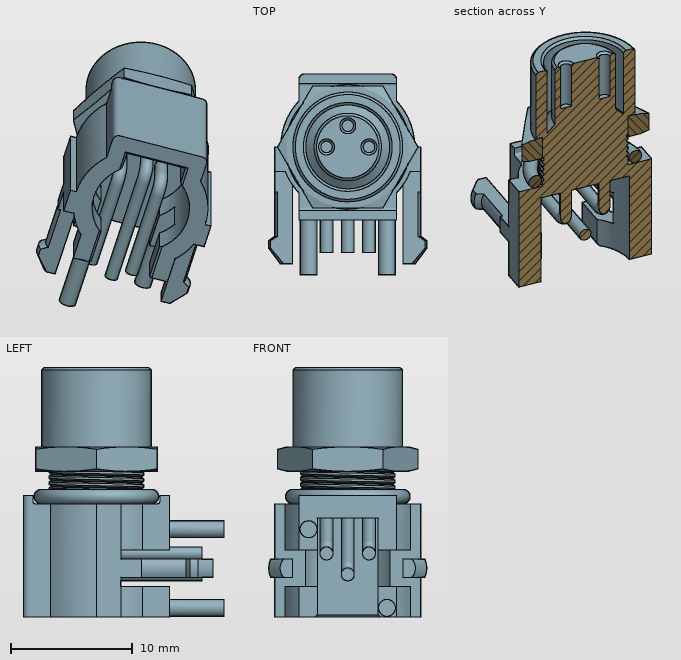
import cadquery as cq
import math


total_height = 20.5
post_tip_y = -10.5

block_half_width = 4.02
block_half_depth = 6.0
block_corner_radius = 0.5
drum_radius = 5.51
shoulder_half_width = 6.0
shoulder_front_y = -2.0
body_height = 9.3
lip_top_z = 10.0
lip_inner_y = 5.2
lip_root_radius = 0.2

cavity_radius = 4.0
cavity_height = 8.14
pocket_half_width = 2.5
pocket_rear_y = 4.5
mouth_chamfer = 0.18

slot_bottom_z = 2.52
slot_top_z = 5.51

sleeve_radius = 4.5
sleeve_bore_radius = 3.45
sleeve_chamfer = 0.2
neck_radius = 3.9
thread_depth = 0.15
thread_pitch = 0.5
thread_turns = 5
thread_groove_mouth = 0.37
thread_groove_root = 0.08
nut_bottom_z = 11.97
nut_height = 2.0
nut_across_flats = 10.0
nut_chamfer_height = 0.2

insert_radius = 2.77
insert_chamfer = 0.2
groove_depth = 6.15
contact_pitch_radius = 1.75
contact_hole_radius = 0.47
contact_hole_depth = 4.1
countersink_depth = 0.18

ring_outer_radius = 5.12
ring_wire_radius = 0.6

contact_radius = 0.53
contact_bend_radius = 1.0
contact_tip_y = -8.67
side_contact_z = 5.23
middle_contact_z = 3.5

post_radius = 0.7
post_offset_x = 3.22
upper_post_z = 7.22
lower_post_z = 0.75

arm_inner_x = 4.53
arm_height = 1.5
arm_center_z = (slot_bottom_z + slot_top_z) / 2
arm_square_end_y = -3.71
hook_outer_x = 6.5
arm_bulge = 0.23
hook_bulge = 0.16
arm_stations = [
    (arm_square_end_y, shoulder_half_width, arm_bulge),
    (-7.34, shoulder_half_width, arm_bulge),
    (-7.69, hook_outer_x, hook_bulge),
    (-8.32, hook_outer_x, hook_bulge),
    (-9.6, 5.55, 0.29),
]

nut_top_z = nut_bottom_z + nut_height
contact_places = [
    (-contact_pitch_radius, 0, side_contact_z),
    (0, contact_pitch_radius, middle_contact_z),
    (contact_pitch_radius, 0, side_contact_z),
]


def box(x_min, x_max, y_min, y_max, z_min, z_max):
    size = (x_max - x_min, y_max - y_min, z_max - z_min)
    return cq.Workplane("XY").box(*size, centered=False).translate((x_min, y_min, z_min))


def cylinder(radius, z_min, z_max):
    return cq.Workplane("XY").workplane(offset=z_min).circle(radius).extrude(z_max - z_min)


def make_shell():
    """Block with two raised lips, round drum and side shoulders."""
    block = box(-block_half_width, block_half_width, -block_half_depth, block_half_depth, 0, lip_top_z)
    block = block.edges("|Z and >Y").fillet(block_corner_radius)
    seat = box(-block_half_width, block_half_width, -lip_inner_y, lip_inner_y, body_height, lip_top_z)
    seat = seat.edges("|X and <Z").fillet(lip_root_radius)
    drum = cylinder(drum_radius, 0, body_height)
    shoulders = box(-shoulder_half_width, shoulder_half_width, shoulder_front_y, 0, 0, body_height)
    return block.cut(seat).union(drum).union(shoulders)


def make_cavity():
    """Round bore and rectangular pocket, open below and to the front, with a flared mouth."""
    bore = cylinder(cavity_radius, 0, cavity_height)
    pocket = box(-pocket_half_width, pocket_half_width, -block_half_depth, pocket_rear_y, 0, cavity_height)
    mouth_half_width = pocket_half_width + mouth_chamfer
    mouth_rear_y = pocket_rear_y + mouth_chamfer
    mouth_front_y = -block_half_depth - mouth_chamfer
    mouth = (
        cq.Workplane("XY")
        .center(0, (mouth_rear_y + mouth_front_y) / 2)
        .rect(2 * mouth_half_width, mouth_rear_y - mouth_front_y)
        .extrude(mouth_chamfer, taper=45)
    )
    return bore.union(pocket).union(mouth)


def make_slot():
    """Full-width slot through the drum and block, just in front of the shoulders."""
    reach = shoulder_half_width
    return box(-reach, reach, -block_half_depth, shoulder_front_y, slot_bottom_z, slot_top_z)


def make_thread_groove():
    """Left-hand helical groove with a narrow root, running from inside the sealing ring into the nut."""
    start_z = body_height + ring_wire_radius
    threaded_height = thread_turns * thread_pitch
    half_mouth = thread_groove_mouth / 2
    half_root = thread_groove_root / 2
    overcut = 0.05
    mouth_radius = neck_radius + overcut
    helix = cq.Wire.makeHelix(thread_pitch, threaded_height, neck_radius, lefthand=True)
    path = cq.Workplane(obj=helix.translate(cq.Vector(0, 0, start_z)))
    profile = (
        cq.Workplane("XZ")
        .moveTo(neck_radius - thread_depth, start_z - half_root)
        .lineTo(neck_radius - thread_depth, start_z + half_root)
        .lineTo(mouth_radius, start_z + half_mouth)
        .lineTo(mouth_radius, start_z - half_mouth)
        .close()
    )
    return profile.sweep(path, isFrenet=True)


def make_barrel():
    """Neck, sleeve and insert, turned around the connector axis."""
    groove_z = total_height - groove_depth
    cone_height = sleeve_bore_radius - insert_radius
    profile = [
        (0, cavity_height),
        (neck_radius, cavity_height),
        (neck_radius, nut_top_z),
        (sleeve_radius, nut_top_z),
        (sleeve_radius, total_height - sleeve_chamfer),
        (sleeve_radius - sleeve_chamfer, total_height),
        (sleeve_bore_radius + sleeve_chamfer, total_height),
        (sleeve_bore_radius, total_height - sleeve_chamfer),
        (sleeve_bore_radius, groove_z),
        (insert_radius, groove_z + cone_height),
        (insert_radius, total_height - insert_chamfer),
        (insert_radius - insert_chamfer, total_height),
        (0, total_height),
    ]
    return cq.Workplane("XZ").polyline(profile).close().revolve(360, (0, 0), (0, 1))


def make_contact_hole(x, y):
    """Countersunk blind hole in the insert."""
    rim_radius = contact_hole_radius + countersink_depth
    profile = [
        (0, total_height - contact_hole_depth),
        (contact_hole_radius, total_height - contact_hole_depth),
        (contact_hole_radius, total_height - countersink_depth),
        (rim_radius, total_height),
        (0, total_height),
    ]
    hole = cq.Workplane("XZ").polyline(profile).close().revolve(360, (0, 0), (0, 1))
    return hole.translate((x, y, 0))


def make_contact(x, y, tip_z):
    """Round wire that drops from the cavity roof and bends towards -Y."""
    bend_end_y = y - contact_bend_radius
    bend_start_z = tip_z + contact_bend_radius
    bend_mid = contact_bend_radius * (1 - math.sqrt(0.5))
    path = (
        cq.Workplane("YZ", origin=(x, 0, 0))
        .moveTo(y, cavity_height)
        .lineTo(y, bend_start_z)
        .threePointArc((y - bend_mid, tip_z + bend_mid), (bend_end_y, tip_z))
        .lineTo(contact_tip_y, tip_z)
    )
    return cq.Workplane("XY", origin=(x, y, cavity_height)).circle(contact_radius).sweep(path)


def make_post(x, z):
    """Straight solder post on the front of the block."""
    length = -block_half_depth - post_tip_y
    return cq.Workplane("XZ", origin=(x, -block_half_depth, z)).circle(post_radius).extrude(length)


def arm_section(y, outer_x, bulge):
    """Closed outline of the +X snap arm at one Y, with a rounded outer side."""
    low_z = arm_center_z - arm_height / 2
    high_z = arm_center_z + arm_height / 2
    outline = (
        cq.Workplane("XZ", origin=(0, y, 0))
        .moveTo(arm_inner_x, low_z)
        .lineTo(outer_x - bulge, low_z)
        .threePointArc((outer_x, arm_center_z), (outer_x - bulge, high_z))
        .lineTo(arm_inner_x, high_z)
        .close()
    )
    return outline.val()


def make_snap_arm():
    """+X snap arm: a square root, then ruled segments that form the hook."""
    low_z = arm_center_z - arm_height / 2
    high_z = arm_center_z + arm_height / 2
    arm = box(arm_inner_x, shoulder_half_width, arm_square_end_y, shoulder_front_y, low_z, high_z)
    for near, far in zip(arm_stations, arm_stations[1:]):
        segment = cq.Solid.makeLoft([arm_section(*near), arm_section(*far)], True)
        arm = arm.union(cq.Workplane(obj=segment))
    return arm


def make_connector():
    """Housing, barrel, contacts, posts and snap arms as one solid."""
    connector = make_shell().cut(make_cavity()).cut(make_slot())
    connector = connector.union(make_barrel().cut(make_thread_groove()))
    for x, y, tip_z in contact_places:
        connector = connector.cut(make_contact_hole(x, y)).union(make_contact(x, y, tip_z))
    connector = connector.union(make_post(-post_offset_x, upper_post_z))
    connector = connector.union(make_post(post_offset_x, lower_post_z))
    arm = make_snap_arm()
    return connector.union(arm).union(arm.mirror("YZ"))


def make_nut():
    """Hexagon nut with its corners turned off at both ends."""
    corner_radius = nut_across_flats / math.sqrt(3)
    flat_radius = nut_across_flats / 2
    hexagon = (
        cq.Workplane("XY").workplane(offset=nut_bottom_z).polygon(6, 2 * corner_radius).extrude(nut_height)
    )
    turned_profile = [
        (neck_radius, nut_bottom_z),
        (flat_radius, nut_bottom_z),
        (corner_radius, nut_bottom_z + nut_chamfer_height),
        (corner_radius, nut_top_z - nut_chamfer_height),
        (flat_radius, nut_top_z),
        (neck_radius, nut_top_z),
    ]
    turned = cq.Workplane("XZ").polyline(turned_profile).close().revolve(360, (0, 0), (0, 1))
    return hexagon.intersect(turned)


def make_sealing_ring():
    center_radius = ring_outer_radius - ring_wire_radius
    wire = cq.Workplane("XZ").center(center_radius, body_height + ring_wire_radius).circle(ring_wire_radius)
    return wire.revolve(360, (-center_radius, 0), (-center_radius, 1))


connector = make_connector()
nut = make_nut()
sealing_ring = make_sealing_ring()

result = cq.Compound.makeCompound([connector.val(), nut.val(), sealing_ring.val()])